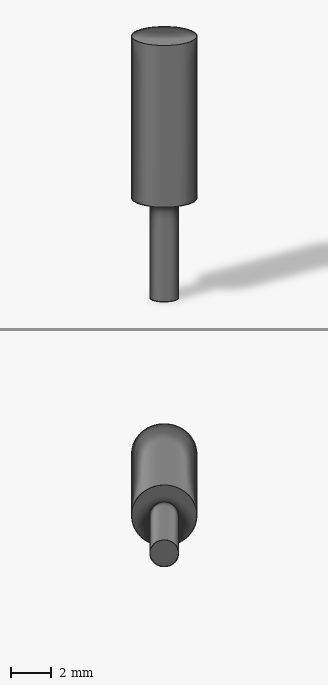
import cadquery as cq

total_length = 13.38
body_diameter = 3.2
body_length = 8.27
pin_diameter = 1.4

pin_length = total_length - body_length


def make_body():
    """Plain cylinder standing on the XY plane."""
    return cq.Workplane("XY").circle(body_diameter / 2).extrude(body_length)


def make_pin():
    """Round pin hanging from the centre of the body's lower face."""
    return cq.Workplane("XY").circle(pin_diameter / 2).extrude(-pin_length)


body = make_body()
pin = make_pin()

result = cq.Compound.makeCompound([body.val(), pin.val()])